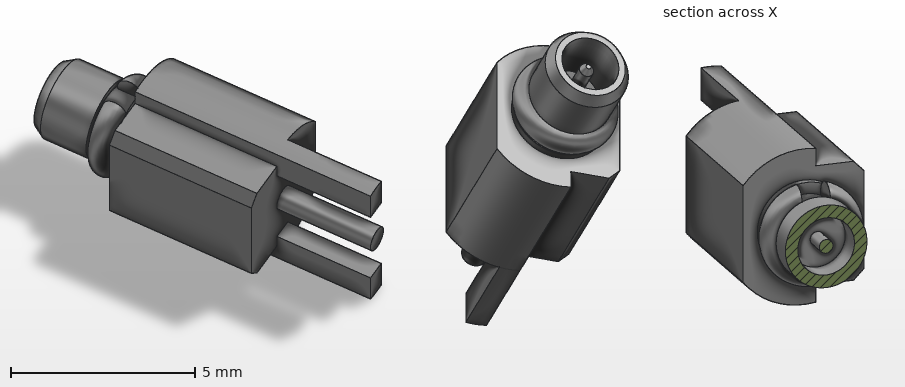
import cadquery as cq
import math

tip_chamfer_end = 0.31
barrel_end = 1.74
flange_start = 2.58
body_start = 2.79
body_end = 7.23
total_length = 10.16

tip_radius = 1.0
barrel_radius = 1.19
neck_radius = 1.02
flange_radius = 1.34
bore_radius = 0.81
bore_depth = barrel_end

ring_outer_radius = 1.49
ring_wire_radius = 0.39
ring_center_radius = ring_outer_radius - ring_wire_radius
ring_center_x = flange_start - ring_wire_radius
ring_gap = 0.82

contact_radius = 0.2
contact_tip_radius = 0.07
contact_tip_x = 0.15
contact_taper = 0.18
pin_radius = 0.36

body_radius = 2.24
body_half_width = 1.753
step_y = -0.36
front_half_height = 1.71
front_chamfer = 0.3

leg_inner_z = 1.3
leg_back_y = 0.23


def x_cylinder(start, end, radius):
    """Solid cylinder on the X axis."""
    return cq.Workplane("YZ", origin=(start, 0, 0)).circle(radius).extrude(end - start)


def arc_height(y):
    """Height of the round body outline at a given Y."""
    return math.sqrt(body_radius**2 - y**2)


def make_barrel():
    """Chamfered hollow barrel, neck and flange, revolved about X."""
    profile = [
        (0, bore_radius),
        (0, tip_radius),
        (tip_chamfer_end, barrel_radius),
        (barrel_end, barrel_radius),
        (barrel_end, neck_radius),
        (flange_start, neck_radius),
        (flange_start, flange_radius),
        (body_start, flange_radius),
        (body_start, 0),
        (bore_depth, 0),
        (bore_depth, bore_radius),
    ]
    return cq.Workplane("XY").polyline(profile).close().revolve(360, (0, 0, 0), (1, 0, 0))


def make_ring():
    """Snap ring with a parallel-sided gap at the top, open down to the neck."""
    ring = (
        cq.Workplane("XY")
        .center(ring_center_x, ring_center_radius)
        .circle(ring_wire_radius)
        .revolve(360, (0, -ring_center_radius, 0), (1, -ring_center_radius, 0))
    )
    gap = cq.Workplane("XY", origin=(ring_center_x, 0, 0)).box(
        2 * ring_wire_radius, ring_gap, ring_outer_radius, centered=(True, True, False)
    )
    return ring.cut(gap)


def make_contact():
    """Center contact with a tapered tip, rooted in the bore floor."""
    profile = [
        (contact_tip_x, 0),
        (contact_tip_x, contact_tip_radius),
        (contact_tip_x + contact_taper, contact_radius),
        (body_start, contact_radius),
        (body_start, 0),
    ]
    return cq.Workplane("XY").polyline(profile).close().revolve(360, (0, 0, 0), (1, 0, 0))


def make_body():
    """Round-backed block that steps in to a narrower, chamfered front."""
    round_back = x_cylinder(body_start, body_end, body_radius).intersect(
        cq.Workplane("XY").box(
            total_length, body_half_width - step_y, 2 * body_radius, centered=(False, False, True)
        ).translate((0, step_y, 0))
    )
    front = (
        cq.Workplane("XY", origin=(body_start, -body_half_width, 0))
        .box(
            body_end - body_start, body_half_width, 2 * front_half_height, centered=(False, False, True)
        )
        .edges("|X and <Y")
        .chamfer(front_chamfer)
    )
    return round_back.union(front)


def make_leg(side):
    """Ground leg whose outer face follows the round body; side is +1 or -1."""
    return (
        cq.Workplane("YZ", origin=(body_start, 0, 0))
        .moveTo(step_y, side * leg_inner_z)
        .lineTo(step_y, side * arc_height(step_y))
        .threePointArc((0, side * body_radius), (leg_back_y, side * arc_height(leg_back_y)))
        .lineTo(leg_back_y, side * leg_inner_z)
        .close()
        .extrude(total_length - body_start)
    )


result = make_barrel().union(make_ring()).union(make_contact()).union(make_body())
result = result.union(x_cylinder(body_start, total_length, pin_radius))
for side in (1, -1):
    result = result.union(make_leg(side))